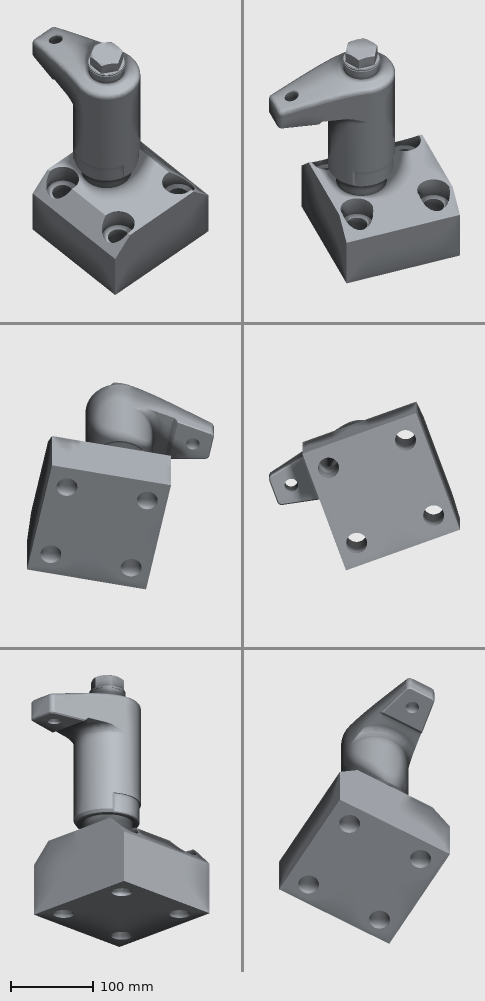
import cadquery as cq
import math


BASE_LENGTH = 148.0
BASE_WIDTH = 155.0
BASE_HEIGHT = 90.0
BASE_LEFT_X = -49.0
BASE_CHAMFER = 25.0
BASE_CENTRE_X = BASE_LEFT_X + BASE_LENGTH / 2
MOUNTING_SPACING = 100.0
MOUNTING_HOLE_DIAMETER = 25.5
COUNTERBORE_DIAMETER = 40.0
COUNTERBORE_DEPTH = 25.0

TOTAL_HEIGHT = 300.0
ROD_RADIUS = 62.0 / 2
SLEEVE_RADIUS = 82.2 / 2
SLEEVE_BOTTOM_Z = 111.3
SLEEVE_CHAMFER_WIDTH = 2.7
SLEEVE_CHAMFER_HEIGHT = 3.5

RECESS_RADIUS = 39.3
RECESS_TOP_Z = 136.2
WIDE_KEY_WIDTH = 66.5
NARROW_KEY_WIDTH = 16.8

OVERALL_LENGTH = 214.0
ARM_TIP_X = BASE_LEFT_X + BASE_LENGTH - OVERALL_LENGTH
ARM_TAPER = math.radians(11.4)
ARM_TOP_Z = 269.0
TOP_FLAT_RADIUS = 28.0
TOP_SLOPE = math.radians(15)
ARM_FILLET = 6.0
ARM_UNDERSIDE_Z = 224.7
FLARE_RADIUS = 8.7
PAD_BOTTOM_Z = 219.5
PAD_END_X = -67.5
PAD_STEP_LENGTH = 5.0
PAD_CHAMFER = 1.5
ARM_HOLE_X = -91.5
ARM_HOLE_DIAMETER = 16.2
ARM_HOLE_CHAMFER = 1.2

COLLAR_RADIUS = 44.0 / 2
COLLAR_TOP_Z = 284.0
COLLAR_GROOVE_Z = 281.0
COLLAR_GROOVE_WIDTH = 1.0
COLLAR_GROOVE_DEPTH = 0.5
WASHER_FACE_RADIUS = 21.0
WASHER_FACE_HEIGHT = 0.5
HEX_ACROSS_FLATS = 36.0
HEX_TOP_RADIUS = 17.7
HEX_BOTTOM_Z = COLLAR_TOP_Z + WASHER_FACE_HEIGHT
HEX_CHAMFER_ANGLE = math.radians(30)


def revolved(points):
    """Solid of revolution about Z from (radius, z) points."""
    return cq.Workplane("XZ").polyline(points).close().revolve(360, (0, 0, 0), (0, 1, 0))


def cylinder(radius, bottom_z, top_z):
    return cq.Workplane("XY").workplane(offset=bottom_z).circle(radius).extrude(top_z - bottom_z)


def make_base():
    """Block with two chamfered top edges and four counterbored mounting holes."""
    block = cq.Workplane("XY").box(BASE_LENGTH, BASE_WIDTH, BASE_HEIGHT, centered=(True, True, False))
    block = block.faces(">Z").edges("|X").chamfer(BASE_CHAMFER)
    block = (
        block.faces(">Z").workplane(origin=(0, 0, BASE_HEIGHT))
        .rarray(MOUNTING_SPACING, MOUNTING_SPACING, 2, 2)
        .cboreHole(MOUNTING_HOLE_DIAMETER, COUNTERBORE_DIAMETER, COUNTERBORE_DEPTH)
    )
    return block.translate((BASE_CENTRE_X, 0, 0))


def cone_z(radius):
    """Height of the conical arm top at a distance from the post axis."""
    return ARM_TOP_Z - (radius - TOP_FLAT_RADIUS) * math.tan(TOP_SLOPE)


def make_sleeve_and_arm():
    """Sleeve with the tapered arm at its head, the arm's sides tangent to the sleeve."""
    tangent_x = -SLEEVE_RADIUS * math.sin(ARM_TAPER)
    tangent_y = SLEEVE_RADIUS * math.cos(ARM_TAPER)
    tip_y = tangent_y + (ARM_TIP_X - tangent_x) * math.tan(ARM_TAPER)
    arm = (
        cq.Workplane("XY").workplane(offset=SLEEVE_BOTTOM_Z)
        .moveTo(ARM_TIP_X, -tip_y)
        .lineTo(tangent_x, -tangent_y)
        .threePointArc((SLEEVE_RADIUS, 0), (tangent_x, tangent_y))
        .lineTo(ARM_TIP_X, tip_y)
        .close()
        .extrude(ARM_TOP_Z - SLEEVE_BOTTOM_Z)
    )

    top_limit = revolved([
        (0, SLEEVE_BOTTOM_Z), (OVERALL_LENGTH, SLEEVE_BOTTOM_Z), (OVERALL_LENGTH, cone_z(OVERALL_LENGTH)),
        (TOP_FLAT_RADIUS, ARM_TOP_Z), (0, ARM_TOP_Z),
    ])
    arm = arm.intersect(top_limit)

    arm = arm.edges("|Z and <X").fillet(ARM_FILLET)
    rim_at_tip = cq.selectors.NearestToPointSelector((ARM_TIP_X, 0, cone_z(abs(ARM_TIP_X))))
    arm = arm.edges(rim_at_tip).fillet(ARM_FILLET)

    underside = (
        cq.Workplane("XZ")
        .moveTo(2 * ARM_TIP_X, SLEEVE_BOTTOM_Z)
        .lineTo(2 * ARM_TIP_X, PAD_BOTTOM_Z)
        .lineTo(PAD_END_X, PAD_BOTTOM_Z)
        .lineTo(PAD_END_X + PAD_STEP_LENGTH, ARM_UNDERSIDE_Z)
        .lineTo(tangent_x, ARM_UNDERSIDE_Z)
        .lineTo(tangent_x, SLEEVE_BOTTOM_Z)
        .close()
        .extrude(BASE_WIDTH / 2, both=True)
    )
    arm = arm.cut(underside.cut(make_flared_sleeve()))
    pad_face = cq.selectors.NearestToPointSelector((ARM_HOLE_X, 0, PAD_BOTTOM_Z))
    arm = arm.faces(pad_face).edges("not >X").chamfer(PAD_CHAMFER)

    drill = cylinder(ARM_HOLE_DIAMETER / 2, PAD_BOTTOM_Z, ARM_TOP_Z).translate((ARM_HOLE_X, 0, 0))
    arm = arm.cut(drill)
    hole_mouth = cq.selectors.BoxSelector(
        (ARM_HOLE_X - ARM_HOLE_DIAMETER, -ARM_HOLE_DIAMETER, ARM_UNDERSIDE_Z),
        (ARM_HOLE_X + ARM_HOLE_DIAMETER, ARM_HOLE_DIAMETER, ARM_TOP_Z))
    return arm.edges(hole_mouth).edges("not %LINE").chamfer(ARM_HOLE_CHAMFER)


def make_flared_sleeve():
    """Sleeve that widens in a concave arc to meet the underside of the arm."""
    flare_bottom_z = ARM_UNDERSIDE_Z - FLARE_RADIUS
    flare_edge = SLEEVE_RADIUS + FLARE_RADIUS
    arc_offset = FLARE_RADIUS * math.sqrt(0.5)
    return (
        cq.Workplane("XZ")
        .moveTo(0, SLEEVE_BOTTOM_Z)
        .lineTo(SLEEVE_RADIUS, SLEEVE_BOTTOM_Z)
        .lineTo(SLEEVE_RADIUS, flare_bottom_z)
        .threePointArc((flare_edge - arc_offset, flare_bottom_z + arc_offset), (flare_edge, ARM_UNDERSIDE_Z))
        .lineTo(0, ARM_UNDERSIDE_Z)
        .close()
        .revolve(360, (0, 0, 0), (0, 1, 0))
    )


def make_foot_recess():
    """Ring round the foot of the sleeve, less the two keys."""
    height = RECESS_TOP_Z - SLEEVE_BOTTOM_Z
    recess = cylinder(2 * SLEEVE_RADIUS, SLEEVE_BOTTOM_Z, RECESS_TOP_Z)
    recess = recess.cut(cylinder(RECESS_RADIUS, SLEEVE_BOTTOM_Z, RECESS_TOP_Z))
    for side, width in ((-1, WIDE_KEY_WIDTH), (1, NARROW_KEY_WIDTH)):
        key = cq.Workplane("XY").box(2 * SLEEVE_RADIUS, width, height, centered=(True, True, False))
        recess = recess.cut(key.translate((side * SLEEVE_RADIUS, 0, SLEEVE_BOTTOM_Z)))
    return recess


def make_foot_chamfer():
    """Triangular ring that bevels the lower edge of the sleeve."""
    return revolved([
        (SLEEVE_RADIUS - SLEEVE_CHAMFER_WIDTH, SLEEVE_BOTTOM_Z),
        (SLEEVE_RADIUS, SLEEVE_BOTTOM_Z + SLEEVE_CHAMFER_HEIGHT),
        (SLEEVE_RADIUS + SLEEVE_CHAMFER_WIDTH, SLEEVE_BOTTOM_Z),
    ])


def make_collar():
    """Collar on the arm with a narrow groove and a washer face under the hexagon."""
    groove_radius = COLLAR_RADIUS - COLLAR_GROOVE_DEPTH
    groove_top_z = COLLAR_GROOVE_Z + COLLAR_GROOVE_WIDTH
    return revolved([
        (0, ARM_TOP_Z), (COLLAR_RADIUS, ARM_TOP_Z),
        (COLLAR_RADIUS, COLLAR_GROOVE_Z), (groove_radius, COLLAR_GROOVE_Z),
        (groove_radius, groove_top_z), (COLLAR_RADIUS, groove_top_z),
        (COLLAR_RADIUS, COLLAR_TOP_Z), (WASHER_FACE_RADIUS, COLLAR_TOP_Z),
        (WASHER_FACE_RADIUS, HEX_BOTTOM_Z), (0, HEX_BOTTOM_Z),
    ])


def make_hex_head():
    """Hexagon with corners on the X axis and a conical chamfer on top."""
    corner_diameter = HEX_ACROSS_FLATS / math.cos(math.radians(30))
    head = (
        cq.Workplane("XY").workplane(offset=HEX_BOTTOM_Z)
        .polygon(6, corner_diameter)
        .extrude(TOTAL_HEIGHT - HEX_BOTTOM_Z)
    )
    chamfer_drop = (corner_diameter - HEX_TOP_RADIUS) * math.tan(HEX_CHAMFER_ANGLE)
    envelope = revolved([
        (0, HEX_BOTTOM_Z), (corner_diameter, HEX_BOTTOM_Z),
        (corner_diameter, TOTAL_HEIGHT - chamfer_drop),
        (HEX_TOP_RADIUS, TOTAL_HEIGHT), (0, TOTAL_HEIGHT),
    ])
    return head.intersect(envelope)


def make_clamp():
    """Rod, sleeve, arm and bolt head as one solid standing on the base."""
    rod = cylinder(ROD_RADIUS, BASE_HEIGHT, SLEEVE_BOTTOM_Z)
    clamp = make_sleeve_and_arm().cut(make_foot_chamfer()).cut(make_foot_recess())
    return clamp.union(rod).union(make_collar()).union(make_hex_head())


base = make_base()
clamp = make_clamp()
result = cq.Compound.makeCompound([base.val(), clamp.val()])